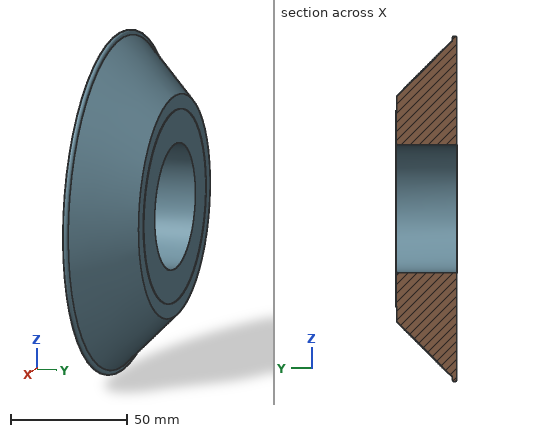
import cadquery as cq

outer_radius = 74.5
overall_depth = 26.2
bore_radius = 55.0 / 2
rim_thickness = 2.1
pad_radius = 42.2
pad_height = 0.3
cone_base_radius = 72.4

rim_round = rim_thickness / 2
rim_flat_radius = outer_radius - rim_round
cone_end = overall_depth - pad_height
cone_top_radius = cone_base_radius - (cone_end - rim_thickness)

half_section = (
    cq.Workplane("XY")
    .moveTo(bore_radius, 0)
    .lineTo(rim_flat_radius, 0)
    .threePointArc((outer_radius, rim_round), (rim_flat_radius, rim_thickness))
    .lineTo(cone_base_radius, rim_thickness)
    .lineTo(cone_top_radius, cone_end)
    .lineTo(pad_radius, cone_end)
    .lineTo(pad_radius, overall_depth)
    .lineTo(bore_radius, overall_depth)
    .close()
)

result = half_section.revolve(360, (0, 0, 0), (0, 1, 0))